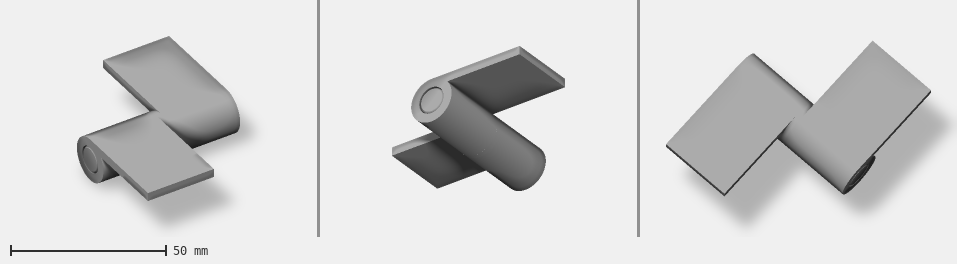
import cadquery as cq

span = 70.0
total_length = 52.0
knuckle_diameter = 16.0
plate_thickness = 3.15
collar_width = 1.8
bore_diameter = 9.65
pin_diameter = 9.25
pin_chamfer = 0.55

knuckle_radius = knuckle_diameter / 2
knuckle_length = (total_length - collar_width) / 2
plate_length = span / 2
half_length = total_length / 2


def rod(diameter, length, y_start):
    """Cylinder on the hinge axis, running from y_start towards +Y."""
    return (
        cq.Workplane("XZ", origin=(0, y_start, 0))
        .circle(diameter / 2)
        .extrude(-length)
    )


def make_leaf(side, y_start):
    """Bored knuckle with a plate flush with its top; side is +1 for +X, -1 for -X."""
    plate = cq.Workplane("XY").box(plate_length, knuckle_length, plate_thickness).translate((
        side * plate_length / 2,
        y_start + knuckle_length / 2,
        knuckle_radius - plate_thickness / 2,
    ))
    knuckle = rod(knuckle_diameter, knuckle_length, y_start)
    bore = rod(bore_diameter, knuckle_length, y_start)
    return knuckle.union(plate).cut(bore)


def make_pin():
    """Pin with chamfered ends and a central collar that spaces the knuckles."""
    shaft = rod(pin_diameter, total_length, -half_length).faces("<Y or >Y").chamfer(pin_chamfer)
    collar = rod(knuckle_diameter, collar_width, -collar_width / 2)
    return shaft.union(collar)


leaves = [
    make_leaf(side, y_start)
    for side, y_start in ((1, -half_length), (-1, collar_width / 2))
]
pin = make_pin()

result = cq.Compound.makeCompound([*[leaf.val() for leaf in leaves], pin.val()])